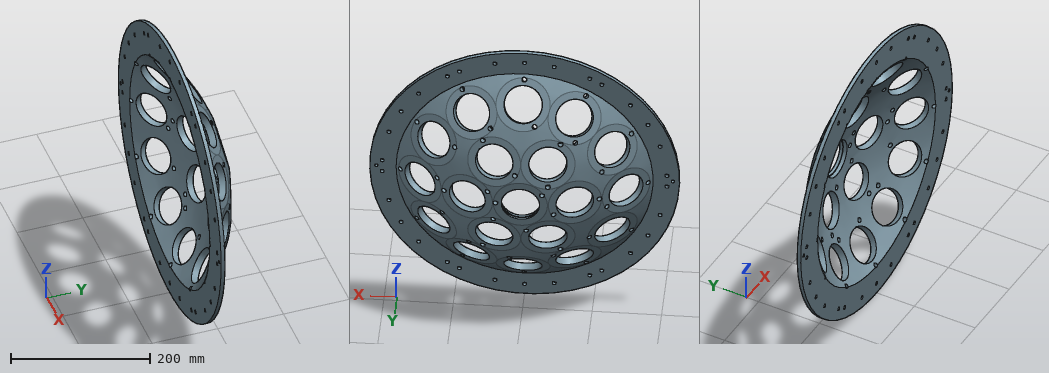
import cadquery as cq
import math

CLEARANCE = 1.0

FLANGE_RADIUS = 223.0
FLANGE_THICKNESS = 6.0
PART_DEPTH = 75.86

DOME_INNER_RADIUS = 259.3
FACET_DISTANCE = 268.86
FACET_RADIUS = 38.9
DOME_OUTER_RADIUS = math.hypot(FACET_DISTANCE, FACET_RADIUS)
DOME_CENTRE_Y = PART_DEPTH - FACET_DISTANCE

PORT_RADIUS = 27.5
PORT_RINGS = [(0.0, 1), (16.75, 6), (33.5, 12)]
CENTRAL_RECESS_RADIUS = 28.9
CENTRAL_RECESS_FLOOR = 5.0
PIN_CIRCLE_RADIUS = 36.0
PIN_RADIUS = 3.4
PIN_ANGLES = (0.0, 150.0)

FLANGE_HOLE_CIRCLE_RADIUS = 205.2
FLANGE_HOLE_RADIUS = 2.75
FLANGE_SECTORS = 6
SECTOR_ANGLE = 360.0 / FLANGE_SECTORS
PAIR_OFFSET = 2.8
TRIPLE_SPACING = 12.0
SECTOR_HOLE_ANGLES = (
    -PAIR_OFFSET,
    PAIR_OFFSET,
    SECTOR_ANGLE / 2 - TRIPLE_SPACING,
    SECTOR_ANGLE / 2,
    SECTOR_ANGLE / 2 + TRIPLE_SPACING,
)
DOWEL_CIRCLE_RADIUS = 213.5
DOWEL_RADIUS = 2.25


def cylinder_along_y(radius, start, end, x=0.0, z=0.0):
    """Cylinder parallel to Y at (x, z), from Y = start to Y = end."""
    return cq.Workplane(
        cq.Solid.makeCylinder(radius, end - start, cq.Vector(x, start, z), cq.Vector(0, 1, 0))
    )


def sphere(radius):
    """Ball about the dome centre, with its poles on the Y axis."""
    ball = cq.Workplane("XY").sphere(radius).rotate((0, 0, 0), (1, 0, 0), 90)
    return ball.translate((0, DOME_CENTRE_Y, 0))


def aim(body, tilt, turn):
    """Swing a body on the Y axis about the dome centre: tilt towards +X, then turn towards +Z."""
    centre = (0, DOME_CENTRE_Y, 0)
    tilted = body.rotate(centre, (0, DOME_CENTRE_Y, 1), -tilt)
    return tilted.rotate(centre, (0, DOME_CENTRE_Y + 1, 0), -turn)


def port_directions():
    """Tilt and turn of every port."""
    return [
        (tilt, index * 360.0 / count)
        for tilt, count in PORT_RINGS
        for index in range(count)
    ]


def make_body():
    """Flange disc and faceted dome, hollowed out by the inner sphere."""
    flange = cylinder_along_y(FLANGE_RADIUS, 0, FLANGE_THICKNESS)
    dome_space = cylinder_along_y(FLANGE_RADIUS, 0, DOME_OUTER_RADIUS)
    dome = sphere(DOME_OUTER_RADIUS).intersect(dome_space)
    facet_y = DOME_CENTRE_Y + FACET_DISTANCE
    cap_y = DOME_CENTRE_Y + DOME_OUTER_RADIUS + CLEARANCE
    facet_cutter = cylinder_along_y(FACET_RADIUS + CLEARANCE, facet_y, cap_y)
    facet_cutters = [aim(facet_cutter, tilt, turn).val() for tilt, turn in port_directions()]
    dome = cq.Workplane(dome.val().cut(*facet_cutters))
    return flange.union(dome).cut(sphere(DOME_INNER_RADIUS))


def make_port_cutters():
    """Large port and its two pin holes, square to each facet."""
    pin_reach = PIN_CIRCLE_RADIUS + PIN_RADIUS
    inner_depth = math.sqrt(DOME_INNER_RADIUS**2 - pin_reach**2)
    start = DOME_CENTRE_Y + inner_depth - CLEARANCE
    end = DOME_CENTRE_Y + DOME_OUTER_RADIUS + CLEARANCE
    tools = [cylinder_along_y(PORT_RADIUS, start, end)]
    for angle in PIN_ANGLES:
        x = PIN_CIRCLE_RADIUS * math.cos(math.radians(angle))
        z = PIN_CIRCLE_RADIUS * math.sin(math.radians(angle))
        tools.append(cylinder_along_y(PIN_RADIUS, start, end, x, z))
    return [aim(tool, tilt, turn) for tilt, turn in port_directions() for tool in tools]


def make_recess_cutter():
    """Shallow recess around the central port, open to the hollow side."""
    floor_y = PART_DEPTH - CENTRAL_RECESS_FLOOR
    return cylinder_along_y(CENTRAL_RECESS_RADIUS, 0, floor_y)


def flange_hole(radius, circle_radius, angle):
    """Cutter through the flange at a polar position."""
    x = circle_radius * math.cos(math.radians(angle))
    z = circle_radius * math.sin(math.radians(angle))
    return cylinder_along_y(radius, -CLEARANCE, FLANGE_THICKNESS + CLEARANCE, x, z)


def make_flange_cutters():
    """Bolt holes repeated in every sector, and the two dowel holes on the X axis."""
    cutters = [
        flange_hole(FLANGE_HOLE_RADIUS, FLANGE_HOLE_CIRCLE_RADIUS, index * SECTOR_ANGLE + angle)
        for index in range(FLANGE_SECTORS)
        for angle in SECTOR_HOLE_ANGLES
    ]
    for angle in (0.0, 180.0):
        cutters.append(flange_hole(DOWEL_RADIUS, DOWEL_CIRCLE_RADIUS, angle))
    return cutters


cutters = make_port_cutters() + make_flange_cutters() + [make_recess_cutter()]
result = cq.Workplane(make_body().val().cut(*[cutter.val() for cutter in cutters]))